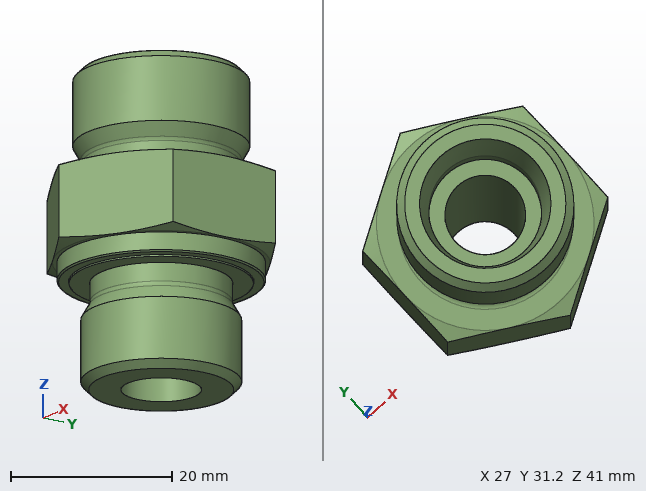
import cadquery as cq
import math

collar_face_z = 14.0
hex_bottom_z = 16.5
hex_top_z = 27.0
total_length = 41.0

stud_diameter = 20.0
stud_neck_diameter = 17.7
stud_cone_start_z = 9.05
stud_neck_fillet = 1.3

tube_diameter = 22.0
tube_neck_diameter = 19.7
tube_cone_start_z = 31.6
tube_neck_fillet = 1.0
hex_root_fillet = 1.0

end_chamfer = 1.0
runout_half_angle = 30.0

across_flats = 27.0
half_sector_angle = 30.0
across_corners = across_flats / math.cos(math.radians(half_sector_angle))
hex_chamfer_angle = 15.0
rim_clearance = 1.0
collar_diameter = 25.9
collar_chamfer = 0.2

bore_diameter = 10.0
socket_diameter = 14.0
socket_mouth_diameter = 16.3
socket_half_angle = 12.0
socket_depth = 8.0

groove_diameter = 23.0
groove_depth = 1.3
seal_outer_diameter = 22.9
seal_inner_diameter = 17.8
seal_protrusion = 0.2


def cylinder(diameter, bottom_z, top_z):
    """Solid cylinder on the Z axis between two heights."""
    return cq.Workplane("XY", origin=(0, 0, bottom_z)).circle(diameter / 2).extrude(top_z - bottom_z)


def revolve_profile(profile):
    """Revolve an outline drawn in the XZ plane about the Z axis."""
    return profile.close().revolve(360, (0, 0, 0), (0, 1, 0))


def runout_height(large_diameter, small_diameter):
    """Axial length of a thread run-out cone."""
    return (large_diameter - small_diameter) / 2 / math.tan(math.radians(runout_half_angle))


def edge_at(diameter, z):
    """Selector for the circular edge of a given diameter at height z."""
    slack = 0.01
    reach = diameter / 2 + slack
    return cq.selectors.BoxSelector((-reach, -reach, z - slack), (reach, reach, z + slack), boundingbox=True)


def make_stud_end():
    """Bottom thread, its run-out cone and the neck up to the hexagon."""
    cone_end_z = stud_cone_start_z + runout_height(stud_diameter, stud_neck_diameter)
    profile = (
        cq.Workplane("XZ")
        .lineTo(stud_diameter / 2 - end_chamfer, 0)
        .lineTo(stud_diameter / 2, end_chamfer)
        .lineTo(stud_diameter / 2, stud_cone_start_z)
        .lineTo(stud_neck_diameter / 2, cone_end_z)
        .lineTo(stud_neck_diameter / 2, hex_bottom_z)
        .lineTo(0, hex_bottom_z)
    )
    stud = revolve_profile(profile)
    return stud.edges(edge_at(stud_neck_diameter, cone_end_z)).fillet(stud_neck_fillet)


def make_tube_end():
    """Top thread, its run-out cone and the neck flaring into the hexagon."""
    cone_end_z = tube_cone_start_z - runout_height(tube_diameter, tube_neck_diameter)
    neck_radius = tube_neck_diameter / 2
    arc_offset = hex_root_fillet * (1 - math.cos(math.radians(45)))
    profile = (
        cq.Workplane("XZ")
        .moveTo(0, hex_top_z)
        .lineTo(neck_radius + hex_root_fillet, hex_top_z)
        .threePointArc(
            (neck_radius + arc_offset, hex_top_z + arc_offset),
            (neck_radius, hex_top_z + hex_root_fillet),
        )
        .lineTo(neck_radius, cone_end_z)
        .lineTo(tube_diameter / 2, tube_cone_start_z)
        .lineTo(tube_diameter / 2, total_length - end_chamfer)
        .lineTo(tube_diameter / 2 - end_chamfer, total_length)
        .lineTo(0, total_length)
    )
    tube_end = revolve_profile(profile)
    return tube_end.edges(edge_at(tube_neck_diameter, cone_end_z)).fillet(tube_neck_fillet)


def make_hexagon():
    """Hexagon with corners on the Y axis, both ends chamfered by a shallow cone."""
    hexagon = (
        cq.Workplane("XY", origin=(0, 0, hex_bottom_z))
        .polygon(6, across_corners)
        .extrude(hex_top_z - hex_bottom_z)
        .rotate((0, 0, 0), (0, 0, 1), half_sector_angle)
    )
    flat_radius = across_flats / 2
    rim_radius = across_corners / 2 + rim_clearance
    rim_drop = (rim_radius - flat_radius) * math.tan(math.radians(hex_chamfer_angle))
    envelope = revolve_profile(
        cq.Workplane("XZ")
        .moveTo(0, hex_bottom_z)
        .lineTo(flat_radius, hex_bottom_z)
        .lineTo(rim_radius, hex_bottom_z + rim_drop)
        .lineTo(rim_radius, hex_top_z - rim_drop)
        .lineTo(flat_radius, hex_top_z)
        .lineTo(0, hex_top_z)
    )
    return hexagon.intersect(envelope)


def make_collar():
    """Collar under the hexagon with an open groove for the seal in its face."""
    collar = cylinder(collar_diameter, collar_face_z, hex_bottom_z).faces("<Z").chamfer(collar_chamfer)
    return collar.cut(cylinder(groove_diameter, collar_face_z, collar_face_z + groove_depth))


def make_bore():
    """Through bore, tube socket and the conical socket mouth."""
    mouth_depth = (socket_mouth_diameter - socket_diameter) / 2 / math.tan(math.radians(socket_half_angle))
    socket_floor_z = total_length - socket_depth
    profile = (
        cq.Workplane("XZ")
        .lineTo(bore_diameter / 2, 0)
        .lineTo(bore_diameter / 2, socket_floor_z)
        .lineTo(socket_diameter / 2, socket_floor_z)
        .lineTo(socket_diameter / 2, total_length - mouth_depth)
        .lineTo(socket_mouth_diameter / 2, total_length)
        .lineTo(0, total_length)
    )
    return revolve_profile(profile)


def make_fitting():
    """Fitting body: two threaded ends, hexagon and collar, bored through."""
    outside = make_stud_end().union(make_collar()).union(make_hexagon()).union(make_tube_end())
    return outside.cut(make_bore())


def make_seal():
    """Flat seal ring seated on the groove floor and standing proud of the collar face."""
    bottom_z = collar_face_z - seal_protrusion
    top_z = collar_face_z + groove_depth
    return cylinder(seal_outer_diameter, bottom_z, top_z).cut(cylinder(seal_inner_diameter, bottom_z, top_z))


fitting = make_fitting()
seal = make_seal()
result = cq.Compound.makeCompound([fitting.val(), seal.val()])